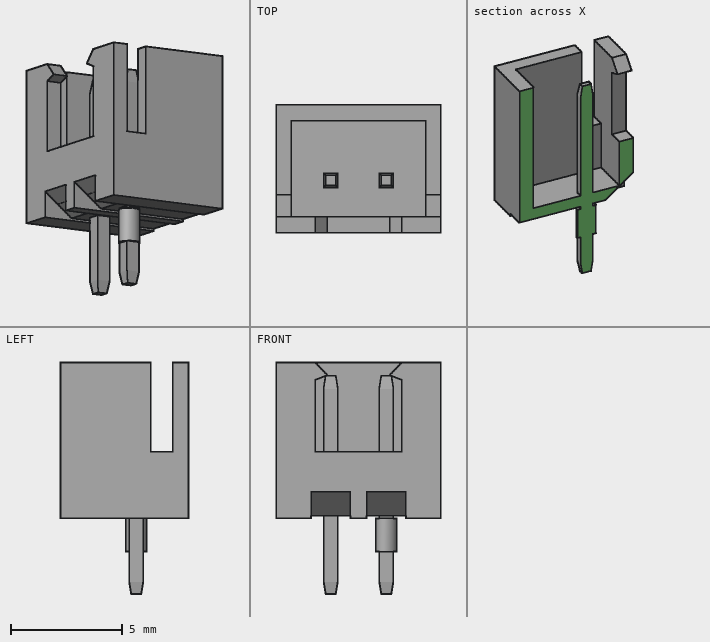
import cadquery as cq

width = 7.4
depth = 5.75
total_height = 10.4
body_height = 7.0
front_y = -depth / 2
back_y = depth / 2

side_wall = 0.69
back_wall = 0.73
front_wall = 0.72
floor_height = 0.7

opening_depth = 4.0
side_slot_width = 0.98
window_width = 3.9

barb_reach = 0.55
barb_tip_depth = 0.57
barb_bottom_depth = 0.79

notch_width = 1.76
notch_front_height = 1.19
notch_rear_height = 0.1
notch_slope_length = 1.4

pin_pitch = 2.5
pin_y = front_y + 2.35
pin_size = 0.65
pin_tip_size = 0.46
pin_top_gap = 0.6
top_taper = 0.59
bottom_taper = 0.55
pin_bottom = body_height - total_height
pin_top = body_height - pin_top_gap

collar_diameter = 0.96
collar_length = 1.5


def box(size_x, y_min, y_max, z_min, z_max):
    """Box centred on X between the given Y and Z limits."""
    return (
        cq.Workplane("XY")
        .box(size_x, y_max - y_min, z_max - z_min, centered=(True, False, False))
        .translate((0, y_min, z_min))
    )


def make_housing():
    """Open-topped box with slotted sides and a window in the front wall."""
    inner_front = front_y + front_wall
    opening_bottom = body_height - opening_depth
    housing = box(width, front_y, back_y, 0, body_height)
    cavity = box(width - 2 * side_wall, inner_front, back_y - back_wall, floor_height, body_height)
    side_slots = box(width, inner_front, inner_front + side_slot_width, opening_bottom, body_height)
    window = box(window_width, front_y, inner_front, opening_bottom, body_height)
    return housing.cut(cavity).cut(side_slots).cut(window)


def make_barb(side):
    """Triangular barb pointing into the window from the given X side."""
    root_x = side * window_width / 2
    tip_x = root_x - side * barb_reach
    return (
        cq.Workplane("XZ", origin=(0, front_y + front_wall, 0))
        .moveTo(root_x, body_height)
        .lineTo(tip_x, body_height - barb_tip_depth)
        .lineTo(root_x, body_height - barb_bottom_depth)
        .close()
        .extrude(front_wall)
    )


def make_notch(x):
    """Underside channel whose roof slopes down from the front, then runs level to the back."""
    return (
        cq.Workplane("YZ", origin=(x - notch_width / 2, 0, 0))
        .moveTo(front_y, 0)
        .lineTo(front_y, notch_front_height)
        .lineTo(front_y + notch_slope_length, notch_rear_height)
        .lineTo(back_y, notch_rear_height)
        .lineTo(back_y, 0)
        .close()
        .extrude(notch_width)
    )


def taper(x, z_start, z_end):
    """Square pin end narrowing from z_start to z_end."""
    return (
        cq.Workplane("XY", origin=(x, pin_y, z_start))
        .rect(pin_size, pin_size)
        .workplane(offset=z_end - z_start)
        .rect(pin_tip_size, pin_tip_size)
        .loft(ruled=True)
    )


def make_pin(x):
    """Square pin through the floor, tapered at both ends."""
    shank_bottom = pin_bottom + bottom_taper
    shank_top = pin_top - top_taper
    shank = box(pin_size, pin_y - pin_size / 2, pin_y + pin_size / 2, shank_bottom, shank_top)
    pin = shank.translate((x, 0, 0))
    return pin.union(taper(x, shank_top, pin_top)).union(taper(x, shank_bottom, pin_bottom))


def make_collar(x):
    """Round collar around a pin, hanging from the underside level."""
    return cq.Workplane("XY", origin=(x, pin_y, 0)).circle(collar_diameter / 2).extrude(-collar_length)


result = make_housing()
for side in (-1, 1):
    pin_x = side * pin_pitch / 2
    result = result.union(make_barb(side))
    result = result.cut(make_notch(pin_x))
    result = result.union(make_pin(pin_x))
result = result.union(make_collar(pin_pitch / 2))